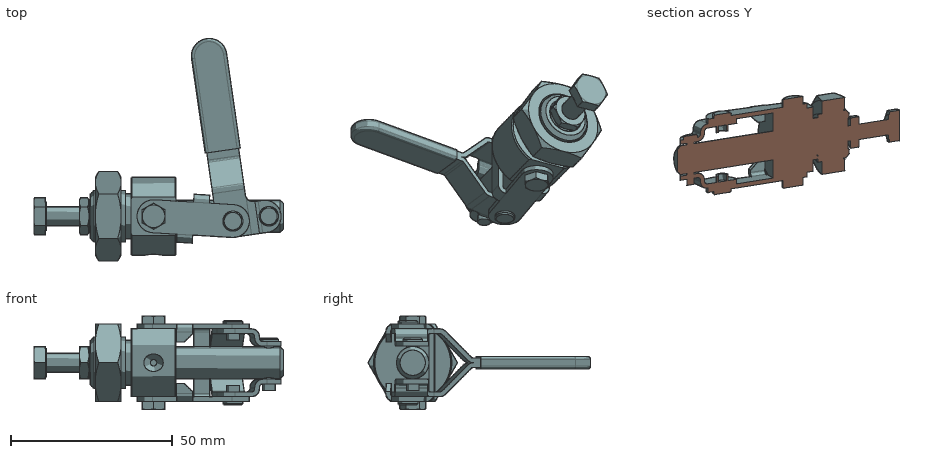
import cadquery as cq
import math


hex_chamfer_angle = 30.0

plunger_radius = 5.0
plunger_end_x = 40.2
plunger_chamfer = 1.1
spindle_radius = 3.0
spindle_tip_x = -37.0
spindle_head_height = 3.6
spindle_head_angle = 15.0
spindle_collar_radius = 4.4
spindle_collar_height = 0.4
small_hex_flats = 10.0
jam_nut_height = 3.0
jam_nut_end_x = -19.95

body_radius = 12.1
body_half_length = 7.0
body_chamfer = 0.4
body_half_height = 10.5
thread_radius = 8.0
thread_start_x = -19.6
thread_end_x = -8.6
thread_chamfer = 1.2
neck_radius = 7.0
bore_countersink = 0.5
mounting_nut_flats = 24.0
mounting_nut_height = 8.0
mounting_nut_countersink = 0.45
mounting_nut_end_x = -10.0
oil_hole_radius = 1.0
oil_sink_radius = 3.0

sheet = 1.5
bend_inner_radius = 1.0
bend_outer_radius = bend_inner_radius + sheet

lever_pivot_x = 24.5
lever_pivot_y = -1.5
link_length = math.hypot(lever_pivot_x, lever_pivot_y)
link_angle = math.degrees(math.atan2(lever_pivot_y, lever_pivot_x))
link_end_radius = 5.1
link_outer_z = body_half_height + sheet
bracket_half_width = link_end_radius + bend_outer_radius
flange_length = 4.9
web_start = 12.05
tab_start = 7.55
tab_inner_z = 6.4
tab_chamfer = 2.5

lever_angle = 8.2
lever_half_width = 5.0
arm_end_center = 10.0
arm_jog_start = 5.1
arm_low_z = 5.1
arm_corner_radius = 2.5
neck_bend_start = 9.3
neck_bend_angle = 45.0
lever_outer_z = body_half_height
grip_start = 22.0
grip_tip_center = 51.48
grip_half_width = 5.5
grip_half_thickness = 2.0
grip_edge_radius = 1.0

bolt_hex_flats = 7.0
bolt_head_height = 2.5
pin_radius = 2.0
pin_head_height = 1.0
pin_head_chamfer = 0.4
pivot_pin_head_radius = 3.1
pivot_pin_inner_z = 7.0
pivot_pin_bore_radius = 1.3
rear_pin_x = 35.6
rear_pin_head_radius = 3.0
rear_pin_projection = 2.0


def x_cylinder(radius, start, end):
    """Cylinder on the X axis."""
    return cq.Workplane("YZ", origin=(start, 0, 0)).circle(radius).extrude(end - start)


def hexagon(flats, height, bottom_angle=hex_chamfer_angle, top_angle=hex_chamfer_angle):
    """Hexagonal prism on Z with two corners on the X axis, turned off at both ends to the angles given."""
    corner = flats / math.sqrt(3)
    rim = flats / 2
    bottom_drop = (corner - rim) * math.tan(math.radians(bottom_angle))
    top_drop = (corner - rim) * math.tan(math.radians(top_angle))
    outline = [
        (0, 0),
        (rim, 0),
        (corner, bottom_drop),
        (corner, height - top_drop),
        (rim, height),
        (0, height),
    ]
    turned = cq.Workplane("XZ").polyline(outline).close().revolve(360, (0, 0), (0, 1))
    return cq.Workplane("XY").polygon(6, 2 * corner).extrude(height).intersect(turned)


def x_hexagon(flats, start, height, **end_angles):
    """Hexagonal prism on the X axis with two corners pointing along Y."""
    prism = hexagon(flats, height, **end_angles).rotate((0, 0, 0), (0, 0, 1), 90)
    return prism.rotate((0, 0, 0), (0, 1, 0), 90).translate((start, 0, 0))


def x_countersink(bore_radius, mouth_x, size):
    """Cutter for a 45 degree countersink around a bore on the X axis that opens toward -X."""
    mouth = cq.Workplane("YZ", origin=(mouth_x, 0, 0)).circle(bore_radius + size)
    return mouth.extrude(size, taper=45)


def both_sides(upper):
    """The shape together with its mirror image below the XY plane."""
    return upper.union(upper.mirror("XY"))


def make_plunger():
    rod_start_x = thread_start_x + bore_countersink
    rod = x_cylinder(plunger_radius, rod_start_x, plunger_end_x)
    rod = rod.faces(">X").chamfer(plunger_chamfer)
    spindle = x_cylinder(spindle_radius, spindle_tip_x, rod_start_x)
    head = x_hexagon(
        small_hex_flats,
        spindle_tip_x,
        spindle_head_height,
        bottom_angle=spindle_head_angle,
        top_angle=0,
    )
    collar_x = spindle_tip_x + spindle_head_height
    collar = x_cylinder(spindle_collar_radius, collar_x, collar_x + spindle_collar_height)
    jam_nut = x_hexagon(small_hex_flats, jam_nut_end_x - jam_nut_height, jam_nut_height)
    return rod.union(spindle).union(head).union(collar).union(jam_nut)


def make_body():
    barrel = x_cylinder(body_radius, -body_half_length, body_half_length)
    barrel = barrel.faces("<X or >X").chamfer(body_chamfer)
    slab = cq.Workplane("XY").box(2 * body_half_length, 2 * body_radius, 2 * body_half_height)
    barrel = barrel.intersect(slab)
    thread = x_cylinder(thread_radius, thread_start_x, thread_end_x)
    thread = thread.faces("<X").chamfer(thread_chamfer)
    neck = x_cylinder(neck_radius, thread_end_x, -body_half_length)
    nut_start = mounting_nut_end_x - mounting_nut_height
    nut = x_hexagon(mounting_nut_flats, nut_start, mounting_nut_height)
    nut = nut.cut(x_countersink(thread_radius, nut_start, mounting_nut_countersink))
    body = barrel.union(nut).union(thread).union(neck)
    return body.cut(x_countersink(plunger_radius, thread_start_x, bore_countersink)).cut(make_oil_hole())


def make_oil_hole():
    """Countersunk hole from the -Y side of the body down to the plunger."""
    sink_depth = oil_sink_radius - oil_hole_radius
    outline = [
        (0, -body_radius),
        (oil_sink_radius, -body_radius),
        (oil_hole_radius, -body_radius + sink_depth),
        (oil_hole_radius, -plunger_radius),
        (0, -plunger_radius),
    ]
    return cq.Workplane("XY").polyline(outline).close().revolve(360, (0, 0), (0, 1))


def bracket_tube(start):
    """Short rectangular tube, round at its corners, from which a flange is taken."""
    outer = cq.Workplane("XY").box(flange_length, 2 * bracket_half_width, 2 * link_outer_z)
    outer = outer.edges("|X").fillet(bend_outer_radius)
    inner_width = 2 * (bracket_half_width - sheet)
    inner = cq.Workplane("XY").box(flange_length, inner_width, 2 * body_half_height)
    inner = inner.edges("|X").fillet(bend_inner_radius)
    return outer.cut(inner).translate((start + flange_length / 2, 0, 0))


def make_bracket():
    """Two link plates joined by a web on the +Y side, with a stop tab on each at the -Y side."""
    plate = (
        cq.Workplane("XY", origin=(link_length / 2, 0, body_half_height))
        .slot2D(link_length + 2 * link_end_radius, 2 * link_end_radius)
        .extrude(sheet)
    )
    web_side = cq.Workplane("XY").box(
        flange_length, bracket_half_width, 2 * link_outer_z, centered=(False, False, True)
    )
    web = bracket_tube(web_start).intersect(web_side.translate((web_start, 0, 0)))
    tab_end = tab_start + flange_length
    tab_window = (
        cq.Workplane("XZ")
        .polyline([
            (tab_start, tab_inner_z),
            (tab_end - tab_chamfer, tab_inner_z),
            (tab_end, tab_inner_z + tab_chamfer),
            (tab_end, link_outer_z),
            (tab_start, link_outer_z),
        ])
        .close()
        .extrude(bracket_half_width)
    )
    tab = bracket_tube(tab_start).intersect(tab_window)
    bracket = both_sides(plate.union(tab)).union(web)
    return bracket.rotate((0, 0, 0), (0, 0, 1), link_angle)


def s_bend(plane, bend_start, angle, low_z, start, end, side_start, side_end):
    """Sheet that runs flat at the lever's outer height, bends down by an angle and runs flat again.

    The profile lies in the given plane; low_z is the underside of the far flat stretch.
    """
    turn = math.radians(angle)
    high_z = lever_outer_z - sheet
    first_z = high_z - bend_inner_radius
    second_z = low_z + sheet + bend_inner_radius
    rise = (second_z - first_z) * math.cos(turn)
    second_start = bend_start + (bend_inner_radius + bend_outer_radius - rise) / math.sin(turn)

    def on_first(radius, share):
        return (bend_start + radius * math.sin(share * turn), first_z + radius * math.cos(share * turn))

    def on_second(radius, share):
        return (second_start - radius * math.sin(share * turn), second_z - radius * math.cos(share * turn))

    profile = (
        cq.Workplane(plane)
        .moveTo(start, lever_outer_z)
        .lineTo(*on_first(bend_outer_radius, 0))
        .threePointArc(on_first(bend_outer_radius, 0.5), on_first(bend_outer_radius, 1))
        .lineTo(*on_second(bend_inner_radius, 1))
        .threePointArc(on_second(bend_inner_radius, 0.5), on_second(bend_inner_radius, 0))
        .lineTo(end, low_z + sheet)
        .lineTo(end, low_z)
        .lineTo(*on_second(bend_outer_radius, 0))
        .threePointArc(on_second(bend_outer_radius, 0.5), on_second(bend_outer_radius, 1))
        .lineTo(*on_first(bend_inner_radius, 1))
        .threePointArc(on_first(bend_inner_radius, 0.5), on_first(bend_inner_radius, 0))
        .lineTo(start, high_z)
        .close()
    )
    normal = profile.plane.zDir
    shift = normal * side_start
    return profile.extrude(side_end - side_start).translate(shift.toTuple())


def make_lever():
    half_width = lever_half_width
    neck_end = grip_start + sheet
    arm_end = arm_end_center + half_width
    diagonal = half_width * math.sqrt(0.5)
    corner_center = half_width + arm_corner_radius
    corner_middle = corner_center - arm_corner_radius * math.sqrt(0.5)
    outline = (
        cq.Workplane("XY")
        .moveTo(-half_width, neck_end)
        .lineTo(-half_width, 0)
        .threePointArc((-diagonal, -diagonal), (0, -half_width))
        .lineTo(arm_end_center, -half_width)
        .threePointArc((arm_end, 0), (arm_end_center, half_width))
        .lineTo(corner_center, half_width)
        .threePointArc((corner_middle, corner_middle), (half_width, corner_center))
        .lineTo(half_width, neck_end)
        .close()
        .extrude(lever_outer_z)
    )
    neck = s_bend("YZ", neck_bend_start, neck_bend_angle, 0, -half_width, neck_end, -half_width, half_width)
    arm = s_bend("XZ", arm_jog_start, 90, arm_low_z, 0, arm_end, -corner_center, half_width)
    half = neck.union(arm).intersect(outline)
    lever = both_sides(half).union(make_grip())
    lever = lever.rotate((0, 0, 0), (0, 0, 1), lever_angle)
    return lever.translate((lever_pivot_x, lever_pivot_y, 0))


def make_grip():
    """Flat handle sleeve with a round tip and softened long edges."""
    half_width = grip_half_width
    grip = (
        cq.Workplane("XY", origin=(0, 0, -grip_half_thickness))
        .moveTo(-half_width, grip_start)
        .lineTo(-half_width, grip_tip_center)
        .threePointArc((0, grip_tip_center + half_width), (half_width, grip_tip_center))
        .lineTo(half_width, grip_start)
        .close()
        .extrude(2 * grip_half_thickness)
    )
    return grip.faces("<Z or >Z").edges("not(|X)").fillet(grip_edge_radius)


def pin(head_radius, head_base, shaft_end):
    """Round pin on Z: a chamfered head standing on head_base and a shaft down to shaft_end."""
    head = cq.Workplane("XY", origin=(0, 0, head_base)).circle(head_radius).extrude(pin_head_height)
    head = head.faces(">Z").chamfer(pin_head_chamfer)
    shaft = cq.Workplane("XY", origin=(0, 0, shaft_end)).circle(pin_radius).extrude(head_base - shaft_end)
    return head.union(shaft)


def make_fasteners():
    bolt_head = hexagon(bolt_hex_flats, bolt_head_height, bottom_angle=0)
    bolt_head = bolt_head.rotate((0, 0, 0), (0, 0, 1), 90).translate((0, 0, link_outer_z))
    bore = (
        cq.Workplane("XY", origin=(0, 0, pivot_pin_inner_z))
        .circle(pivot_pin_bore_radius)
        .extrude(lever_outer_z - sheet - pivot_pin_inner_z)
    )
    pivot_pin = pin(pivot_pin_head_radius, link_outer_z, pivot_pin_inner_z).cut(bore)
    pivot_pin = pivot_pin.translate((lever_pivot_x, lever_pivot_y, 0))
    arm_outer_z = arm_low_z + sheet
    rear_pin = pin(rear_pin_head_radius, arm_outer_z, -arm_outer_z - rear_pin_projection)
    rear_pin = rear_pin.translate((rear_pin_x, 0, 0))
    return both_sides(bolt_head.union(pivot_pin)), rear_pin


bolts_and_pivots, rear_pin = make_fasteners()
result = (
    make_body()
    .union(make_plunger())
    .union(make_bracket())
    .union(make_lever())
    .union(bolts_and_pivots)
    .union(rear_pin)
)